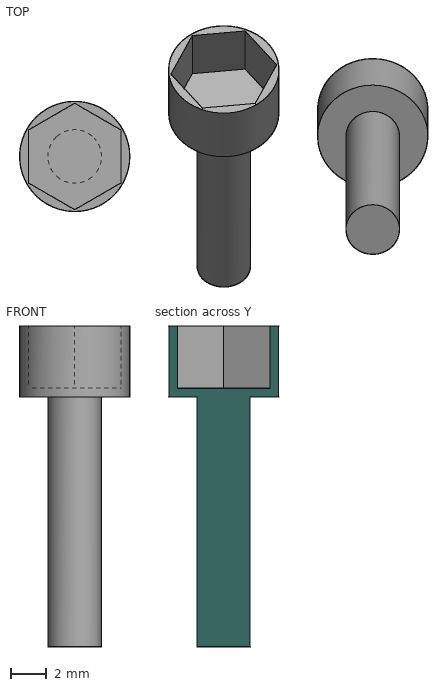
import cadquery as cq
import math

total_length = 18.0
head_diameter = 6.2
head_height = 4.0
shank_diameter = 3.0
shank_length = total_length - head_height

socket_across_flats = 5.17
socket_across_corners = socket_across_flats / math.cos(math.pi / 6)
socket_depth = 3.5


def make_shank():
    return cq.Workplane("XY").circle(shank_diameter / 2).extrude(shank_length)


def make_head():
    return cq.Workplane("XY", origin=(0, 0, shank_length)).circle(head_diameter / 2).extrude(head_height)


def make_socket():
    return (
        cq.Workplane("XY", origin=(0, 0, total_length - socket_depth))
        .transformed(rotate=(0, 0, 90))
        .polygon(6, socket_across_corners)
        .extrude(socket_depth)
    )


result = make_shank().union(make_head()).cut(make_socket())